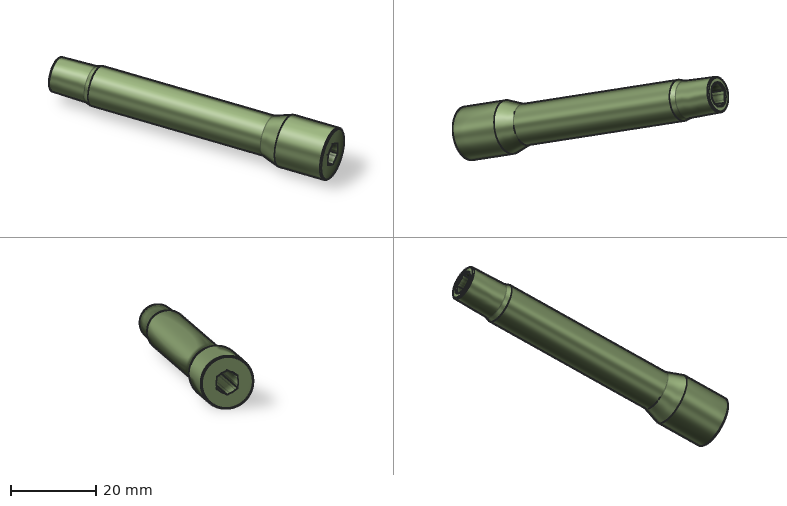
import cadquery as cq

TOTAL_LENGTH = 72.3
TIP_LENGTH = 9.4
SHOULDER_LENGTH = 1.3
FLARE_START = 55.7
SOCKET_START = 60.15

TIP_END_RADIUS = 4.3
TIP_ROOT_RADIUS = 4.5
SHANK_RADIUS = 4.9
SOCKET_RADIUS = 6.4
EDGE_CHAMFER = 0.3

BORE_RADIUS = 2.7
HEXAGON_DIAGONAL = 5.9
BORE_MOUTH_RADIUS = HEXAGON_DIAGONAL / 2


def make_body():
    """Revolve the stepped outer profile about the X axis."""
    outline = [
        (0, 0),
        (0, TIP_END_RADIUS - EDGE_CHAMFER),
        (EDGE_CHAMFER, TIP_END_RADIUS),
        (TIP_LENGTH, TIP_ROOT_RADIUS),
        (TIP_LENGTH + SHOULDER_LENGTH, SHANK_RADIUS),
        (FLARE_START, SHANK_RADIUS),
        (SOCKET_START, SOCKET_RADIUS),
        (TOTAL_LENGTH - EDGE_CHAMFER, SOCKET_RADIUS),
        (TOTAL_LENGTH, SOCKET_RADIUS - EDGE_CHAMFER),
        (TOTAL_LENGTH, 0),
    ]
    return cq.Workplane("XY").polyline(outline).close().revolve(360, (0, 0), (1, 0))


def make_bore():
    """Round bore with a conical mouth and V grooves left by the hexagon's corners."""
    mouth_depth = BORE_MOUTH_RADIUS - BORE_RADIUS
    bore_outline = [
        (0, 0),
        (0, BORE_MOUTH_RADIUS),
        (mouth_depth, BORE_RADIUS),
        (TOTAL_LENGTH, BORE_RADIUS),
        (TOTAL_LENGTH, 0),
    ]
    bore = cq.Workplane("XY").polyline(bore_outline).close().revolve(360, (0, 0), (1, 0))
    hexagon = (
        cq.Workplane("YZ")
        .transformed(rotate=(0, 0, 90))
        .polygon(6, HEXAGON_DIAGONAL)
        .extrude(TOTAL_LENGTH)
    )
    return bore.union(hexagon)


result = make_body().cut(make_bore())